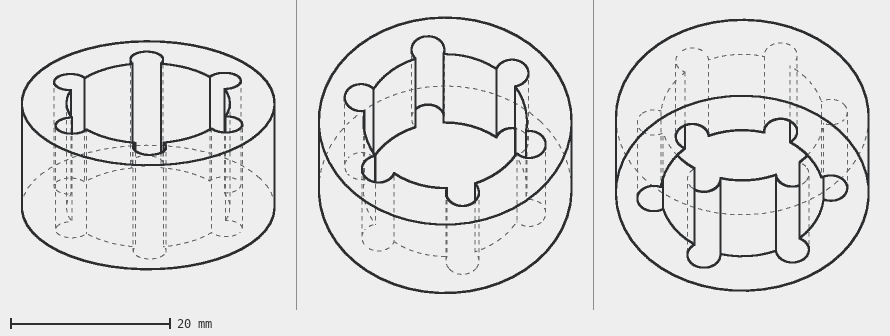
import cadquery as cq

outer_diameter = 31.75
height = 14.98
bore_diameter = 20.5

groove_count = 6
groove_diameter = 4.13
groove_circle_radius = 11.15


def ring_body():
    """Plain ring, centred on Z, standing on the XY plane."""
    return (
        cq.Workplane("XY")
        .circle(outer_diameter / 2)
        .circle(bore_diameter / 2)
        .extrude(height)
    )


def groove_cutters():
    """Evenly spaced full-height cylinders, the first one on +X."""
    return (
        cq.Workplane("XY")
        .polarArray(groove_circle_radius, 0, 360, groove_count)
        .circle(groove_diameter / 2)
        .extrude(height)
    )


result = ring_body().cut(groove_cutters())